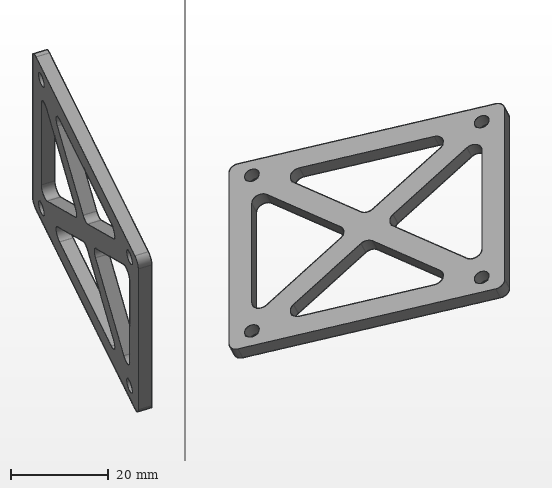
import cadquery as cq
import math

width = 60.0
height = 50.0
thickness = 3.0
corner_radius = 2.0

rim = 5.0
strut_width = rim
window_radius = corner_radius

hole_diameter = 3.2
hole_spacing_x = 50.0
hole_spacing_z = 42.0

slope = height / width
strut_angle = math.atan(slope)
half_inner_width = width / 2 - rim
half_inner_height = height / 2 - rim

apex_x = strut_width / 2 / math.sin(strut_angle)
apex_z = strut_width / 2 / math.cos(strut_angle)


def triangular_window(points):
    """Through-cutter with a triangular outline and rounded corners."""
    return (
        cq.Workplane("XZ")
        .polyline(points)
        .close()
        .extrude(thickness / 2, both=True)
        .edges("|Y")
        .fillet(window_radius)
    )


def side_window(side):
    """Window beside the crossing; side is -1 for left, +1 for right."""
    base_x = side * half_inner_width
    base_z = slope * (half_inner_width - apex_x)
    return triangular_window([(side * apex_x, 0), (base_x, base_z), (base_x, -base_z)])


def end_window(side):
    """Window above (+1) or below (-1) the crossing."""
    base_z = side * half_inner_height
    base_x = (half_inner_height - apex_z) / slope
    return triangular_window([(0, side * apex_z), (base_x, base_z), (-base_x, base_z)])


plate = (
    cq.Workplane("XZ")
    .rect(width, height)
    .extrude(thickness / 2, both=True)
    .edges("|Y")
    .fillet(corner_radius)
)

mounting_holes = (
    cq.Workplane("XZ")
    .rect(hole_spacing_x, hole_spacing_z, forConstruction=True)
    .vertices()
    .circle(hole_diameter / 2)
    .extrude(thickness / 2, both=True)
)

result = plate.cut(mounting_holes)
for side in (-1, 1):
    result = result.cut(side_window(side)).cut(end_window(side))